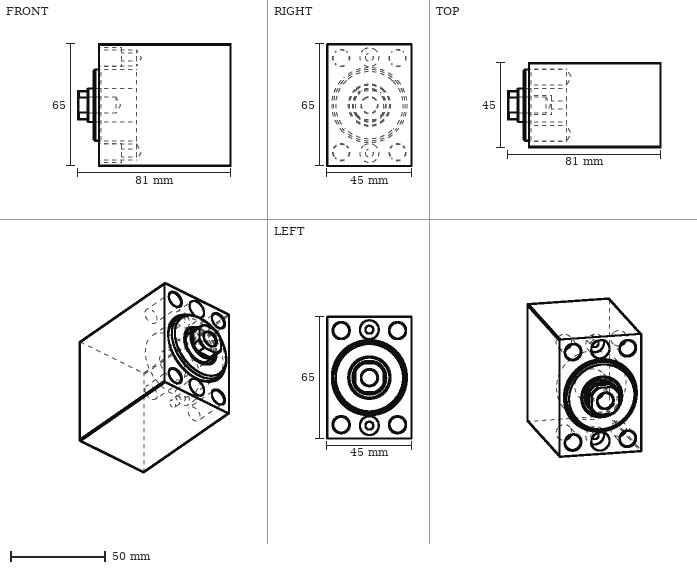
import cadquery as cq
import math

TOTAL_LENGTH = 81.0
HOUSING_WIDTH = 45.0
HOUSING_HEIGHT = 65.0
EDGE_CHAMFER = 0.5

HEAD_LENGTH = 5.0
NECK_LENGTH = 3.0
CAP_PROTRUSION = 3.0
HOUSING_LENGTH = TOTAL_LENGTH - HEAD_LENGTH - NECK_LENGTH - CAP_PROTRUSION

CAP_DIAMETER = 38.1
CAP_CHAMFER = 1.1
CAP_SEAT_DEPTH = 20.0
SEAT_MOUTH_DIAMETER = 40.0
WIPER_DIAMETER = 21.3
WIPER_DEPTH = 1.45
WIPER_RIM_DIAMETER = 22.5
WIPER_RIM_DEPTH = 0.1

ROD_DIAMETER = 18.0
ROD_CHAMFER = 0.5
HEAD_DIAMETER = 17.0
HEAD_CHAMFER = 0.3
HEAD_ACROSS_FLATS = 15.0

DRILL_DIAMETER = 8.5
DRILL_MOUTH_DIAMETER = 9.15
DRILL_DEPTH = 20.0
DRILL_POINT_ANGLE = 118.0
BOLT_SPACING_Y = 30.0
BOLT_SPACING_Z = 50.05

PORT_DIAMETER = 10.05
PORT_DEPTH = 12.0
PORT_SPACING_Z = 51.0
PASSAGE_DIAMETER = 4.2
PASSAGE_DEPTH = 8.0

HOUSING_BACK_X = TOTAL_LENGTH / 2
HOUSING_FRONT_X = HOUSING_BACK_X - HOUSING_LENGTH
CAP_FRONT_X = HOUSING_FRONT_X - CAP_PROTRUSION
NECK_FRONT_X = CAP_FRONT_X - NECK_LENGTH
ROD_FRONT_X = NECK_FRONT_X - HEAD_LENGTH
SEAT_FLOOR_X = HOUSING_FRONT_X + CAP_SEAT_DEPTH


def cylinder(diameter, start_x, length, y=0.0, z=0.0):
    """Solid cylinder running in +X from start_x."""
    axis_start = cq.Vector(start_x, y, z)
    solid = cq.Solid.makeCylinder(diameter / 2, length, axis_start, cq.Vector(1, 0, 0))
    return cq.Workplane(obj=solid)


def cone(start_diameter, end_diameter, start_x, length, y=0.0, z=0.0):
    """Solid cone running in +X from start_x."""
    axis_start = cq.Vector(start_x, y, z)
    solid = cq.Solid.makeCone(
        start_diameter / 2, end_diameter / 2, length, axis_start, cq.Vector(1, 0, 0)
    )
    return cq.Workplane(obj=solid)


def drilled_hole(mouth_x, y=0.0, z=0.0):
    """Cutter for a blind hole with a chamfered mouth and a conical bottom."""
    mouth_depth = (DRILL_MOUTH_DIAMETER - DRILL_DIAMETER) / 2
    point_length = DRILL_DIAMETER / 2 / math.tan(math.radians(DRILL_POINT_ANGLE / 2))
    bore = cylinder(DRILL_DIAMETER, mouth_x, DRILL_DEPTH, y, z)
    mouth = cone(DRILL_MOUTH_DIAMETER, DRILL_DIAMETER, mouth_x, mouth_depth, y, z)
    point = cone(DRILL_DIAMETER, 0, mouth_x + DRILL_DEPTH, point_length, y, z)
    return bore.union(mouth).union(point)


def cap_seat():
    """Cutter for the recess that holds the cap, with a chamfered mouth."""
    mouth_depth = (SEAT_MOUTH_DIAMETER - CAP_DIAMETER) / 2
    seat = cylinder(CAP_DIAMETER, HOUSING_FRONT_X, CAP_SEAT_DEPTH)
    mouth = cone(SEAT_MOUTH_DIAMETER, CAP_DIAMETER, HOUSING_FRONT_X, mouth_depth)
    return seat.union(mouth)


def port(z):
    """Cutter for a flat-bottomed port with a narrow passage beyond it."""
    opening = cylinder(PORT_DIAMETER, HOUSING_FRONT_X, PORT_DEPTH, z=z)
    passage = cylinder(PASSAGE_DIAMETER, HOUSING_FRONT_X, PORT_DEPTH + PASSAGE_DEPTH, z=z)
    return opening.union(passage)


def make_housing():
    housing = (
        cq.Workplane("XY")
        .box(HOUSING_LENGTH, HOUSING_WIDTH, HOUSING_HEIGHT)
        .translate((HOUSING_FRONT_X + HOUSING_LENGTH / 2, 0, 0))
        .edges("|X")
        .chamfer(EDGE_CHAMFER)
    )
    housing = housing.cut(cap_seat())
    for side_z in (-1, 1):
        housing = housing.cut(port(side_z * PORT_SPACING_Z / 2))
        for side_y in (-1, 1):
            bolt_y = side_y * BOLT_SPACING_Y / 2
            bolt_z = side_z * BOLT_SPACING_Z / 2
            housing = housing.cut(drilled_hole(HOUSING_FRONT_X, bolt_y, bolt_z))
    return housing


def make_cap():
    cap = cylinder(CAP_DIAMETER, CAP_FRONT_X, CAP_PROTRUSION + CAP_SEAT_DEPTH)
    cap = cap.faces("<X").chamfer(CAP_CHAMFER)
    rod_bore = cylinder(ROD_DIAMETER, CAP_FRONT_X, CAP_PROTRUSION + CAP_SEAT_DEPTH)
    wiper_recess = cylinder(WIPER_DIAMETER, CAP_FRONT_X, WIPER_DEPTH)
    wiper_rim = cylinder(WIPER_RIM_DIAMETER, CAP_FRONT_X, WIPER_RIM_DEPTH)
    return cap.cut(rod_bore).cut(wiper_recess).cut(wiper_rim)


def make_rod():
    shaft = cylinder(ROD_DIAMETER, NECK_FRONT_X, SEAT_FLOOR_X - NECK_FRONT_X)
    shaft = shaft.faces("<X").chamfer(ROD_CHAMFER)
    head = cylinder(HEAD_DIAMETER, ROD_FRONT_X, HEAD_LENGTH)
    head = head.faces("<X").chamfer(HEAD_CHAMFER)
    wrench_square = (
        cq.Workplane("XY")
        .box(HEAD_LENGTH, HEAD_ACROSS_FLATS, HEAD_ACROSS_FLATS)
        .translate((ROD_FRONT_X + HEAD_LENGTH / 2, 0, 0))
    )
    head = head.intersect(wrench_square)
    return shaft.union(head).cut(drilled_hole(ROD_FRONT_X))


housing = make_housing()
cap = make_cap()
rod = make_rod()

result = cq.Compound.makeCompound([housing.val(), cap.val(), rod.val()])